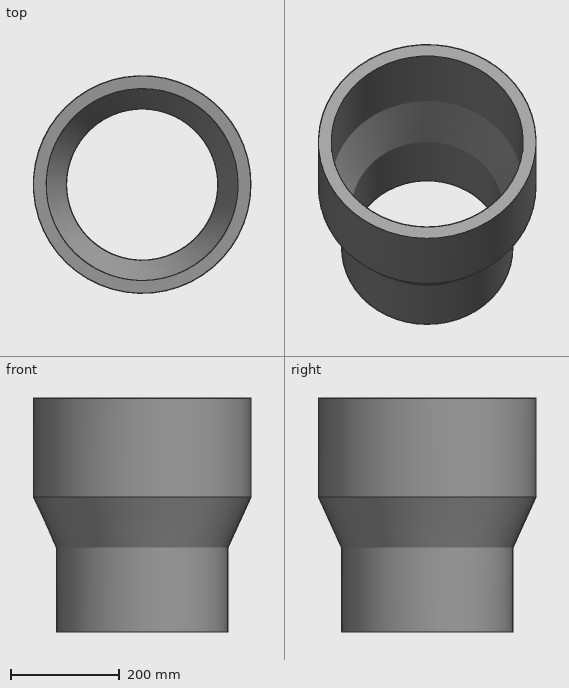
import cadquery as cq

large_outer_diameter = 400.0
large_wall = 23.7
small_outer_diameter = 315.0
small_wall = 18.7
total_height = 430.0
small_end_length = 155.0
large_end_length = 182.0

taper_fillet = 5.0

large_outer_radius = large_outer_diameter / 2
small_outer_radius = small_outer_diameter / 2
large_inner_radius = large_outer_radius - large_wall
small_inner_radius = small_outer_radius - small_wall
taper_top = total_height - large_end_length


def stepped_body(small_radius, large_radius):
    """Solid of revolution: small cylinder, conical taper, large cylinder."""
    half_section = (
        cq.Workplane("XZ")
        .lineTo(small_radius, 0)
        .lineTo(small_radius, small_end_length)
        .lineTo(large_radius, taper_top)
        .lineTo(large_radius, total_height)
        .lineTo(0, total_height)
        .close()
    )
    return half_section.revolve(360, (0, 0), (0, 1))


def round_circle_at(body, height, fillet_radius):
    """Fillet the circular edge of the body that lies at the given height."""
    tolerance = 0.1
    reach = 2 * large_outer_radius
    corner_edge = cq.selectors.BoxSelector(
        (-reach, -reach, height - tolerance),
        (reach, reach, height + tolerance),
    )
    return body.edges(corner_edge).fillet(fillet_radius)


outer_body = stepped_body(small_outer_radius, large_outer_radius)
outer_body = round_circle_at(outer_body, small_end_length, taper_fillet)

bore = stepped_body(small_inner_radius, large_inner_radius)
bore = round_circle_at(bore, small_end_length, taper_fillet)
bore = round_circle_at(bore, taper_top, taper_fillet)

result = outer_body.cut(bore)